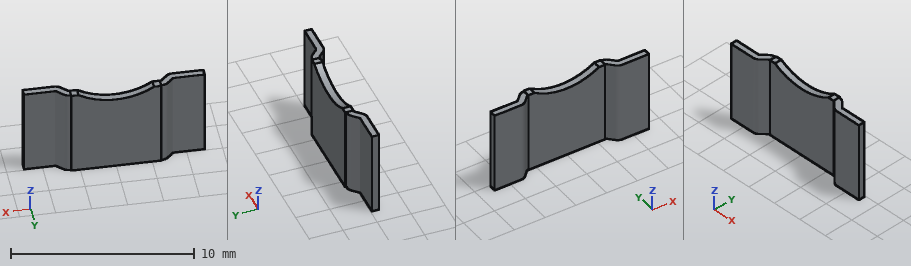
import cadquery as cq
import math

TOTAL_LENGTH = 10.04
HEIGHT = 5.2
PLATE_LENGTH = 5.0
PLATE_THICKNESS = 0.48
NOTCH_WIDTH = 4.2
NOTCH_DEPTH = 0.59
STRIP_THICKNESS = 0.42
FOOT_LENGTH = 1.73
RISE = 0.51
BEND_INNER_RADIUS = 0.07
BEND_ANGLE = math.radians(45)

HALF_LENGTH = TOTAL_LENGTH / 2
HALF_PLATE = PLATE_LENGTH / 2
BEND_OUTER_RADIUS = BEND_INNER_RADIUS + STRIP_THICKNESS
BEND_RADII = BEND_INNER_RADIUS + BEND_OUTER_RADIUS
SLOPE_RISE = RISE - BEND_RADII * (1 - math.cos(BEND_ANGLE))
OFFSET_RUN = BEND_RADII * math.sin(BEND_ANGLE) + SLOPE_RISE / math.tan(BEND_ANGLE)



def make_plate():
    """Central plate with a shallow circular notch in its top edge."""
    half_notch = NOTCH_WIDTH / 2
    return (
        cq.Workplane("XZ", origin=(0, RISE, 0))
        .moveTo(-HALF_PLATE, 0)
        .lineTo(HALF_PLATE, 0)
        .lineTo(HALF_PLATE, HEIGHT)
        .lineTo(half_notch, HEIGHT)
        .threePointArc((0, HEIGHT - NOTCH_DEPTH), (-half_notch, HEIGHT))
        .lineTo(-HALF_PLATE, HEIGHT)
        .close()
        .extrude(-PLATE_THICKNESS)
    )


def bend_point(center, radius, angle):
    """Point on a bend, with the angle measured from the +Y direction toward -X."""
    return (center[0] - radius * math.sin(angle), center[1] + radius * math.cos(angle))


def make_left_terminal():
    """Bent strip: flat foot, two opposite bends joined by a slope, and a flat tail at the plate."""
    foot_end = FOOT_LENGTH - HALF_LENGTH
    tail_start = foot_end + OFFSET_RUN
    lower_center = (foot_end, BEND_OUTER_RADIUS)
    upper_center = (tail_start, RISE - BEND_INNER_RADIUS)
    half_angle = BEND_ANGLE / 2

    def lower(radius, angle):
        return bend_point(lower_center, radius, math.pi + angle)

    def upper(radius, angle):
        return bend_point(upper_center, radius, angle)

    return (
        cq.Workplane("XY")
        .moveTo(-HALF_LENGTH, 0)
        .lineTo(foot_end, 0)
        .threePointArc(lower(BEND_OUTER_RADIUS, half_angle), lower(BEND_OUTER_RADIUS, BEND_ANGLE))
        .lineTo(*upper(BEND_INNER_RADIUS, BEND_ANGLE))
        .threePointArc(upper(BEND_INNER_RADIUS, half_angle), upper(BEND_INNER_RADIUS, 0))
        .lineTo(-HALF_PLATE, RISE)
        .lineTo(-HALF_PLATE, RISE + STRIP_THICKNESS)
        .lineTo(tail_start, RISE + STRIP_THICKNESS)
        .threePointArc(upper(BEND_OUTER_RADIUS, half_angle), upper(BEND_OUTER_RADIUS, BEND_ANGLE))
        .lineTo(*lower(BEND_INNER_RADIUS, BEND_ANGLE))
        .threePointArc(lower(BEND_INNER_RADIUS, half_angle), lower(BEND_INNER_RADIUS, 0))
        .lineTo(-HALF_LENGTH, STRIP_THICKNESS)
        .close()
        .extrude(HEIGHT)
    )


def make_terminal(mirrored):
    """One terminal: the left one, or its mirror image on the right."""
    terminal = make_left_terminal()
    return terminal.mirror("YZ") if mirrored else terminal


plate = make_plate()
terminals = [make_terminal(mirrored) for mirrored in (False, True)]

result = cq.Compound.makeCompound([plate.val(), *[terminal.val() for terminal in terminals]])